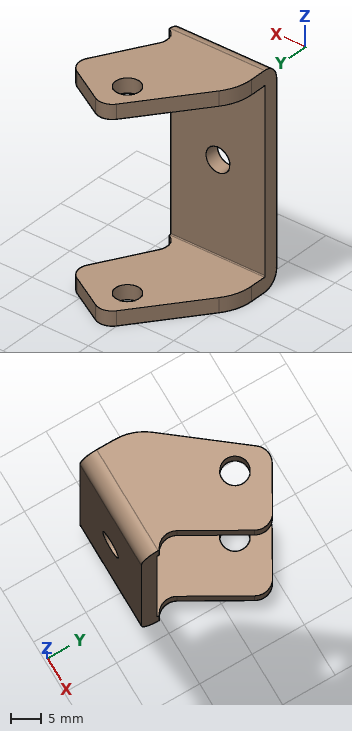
import cadquery as cq
import math

height = 44.0
web_width = 20.0
thickness = 3.05
inner_bend_radius = 0.18
outer_bend_radius = thickness + inner_bend_radius

reach_x = 25.45
reach_y = 27.4
corner_radius = 3.0
elbow_radius = 9.6
elbow_start_y = 6.7
lean_angle = 60.0
tip_spacing = 8.45
notch_center_y = 6.15

hole_diameter = 5.0
flange_hole_x = 14.65
flange_hole_y = 21.05


def on_circle(center, radius, angle):
    """Point on a circle at an angle in degrees from +X."""
    turn = math.radians(angle)
    return (center[0] + radius * math.cos(turn), center[1] + radius * math.sin(turn))


def make_channel():
    """C-shaped channel: a web and two flanges joined by round bends."""
    profile = cq.Workplane("YZ").rect(2 * reach_y, height).extrude(reach_x)
    profile = profile.edges("|X").fillet(outer_bend_radius)
    cavity_length = 2 * (reach_y - thickness)
    cavity = cq.Workplane("YZ").rect(cavity_length, height - 2 * thickness).extrude(reach_x)
    cavity = cavity.edges("|X").fillet(inner_bend_radius)
    near_half = cq.Workplane("XY").box(reach_x, reach_y, height, centered=(False, False, True))
    shell = profile.cut(cavity).translate((0, reach_y, 0))
    return shell.intersect(near_half)


def make_flange_outline():
    """Leaning flange shape seen along Z, as a block of full height."""
    edge_angle = lean_angle - 90
    elbow_center = (elbow_radius, elbow_start_y)
    right_center_x = reach_x - corner_radius
    top_center_y = reach_y - corner_radius
    spacing_x = tip_spacing * math.cos(math.radians(edge_angle))
    spacing_y = tip_spacing * math.sin(math.radians(edge_angle))
    top_center = (right_center_x - spacing_x, top_center_y)
    right_center = (right_center_x, top_center_y + spacing_y)

    dx = top_center[0] - elbow_center[0]
    dy = top_center[1] - elbow_center[1]
    taper = math.asin((elbow_radius - corner_radius) / math.hypot(dx, dy))
    left_angle = math.degrees(math.atan2(dy, dx) - taper) + 90

    normal_x = math.cos(math.radians(edge_angle))
    normal_y = math.sin(math.radians(edge_angle))
    edge_offset = right_center[0] * normal_x + right_center[1] * normal_y + corner_radius
    notch_center_x = (edge_offset + corner_radius - notch_center_y * normal_y) / normal_x
    notch_center = (notch_center_x, notch_center_y)
    notch_end_y = notch_center_y - math.sqrt(corner_radius**2 - (notch_center_x - web_width)**2)

    outline = (
        cq.Workplane("XY", origin=(0, 0, -height / 2))
        .moveTo(0, 0)
        .lineTo(0, elbow_start_y)
        .threePointArc(
            on_circle(elbow_center, elbow_radius, (180 + left_angle) / 2),
            on_circle(elbow_center, elbow_radius, left_angle),
        )
        .lineTo(*on_circle(top_center, corner_radius, left_angle))
        .threePointArc(
            on_circle(top_center, corner_radius, (left_angle + lean_angle) / 2),
            on_circle(top_center, corner_radius, lean_angle),
        )
        .lineTo(*on_circle(right_center, corner_radius, lean_angle))
        .threePointArc(
            on_circle(right_center, corner_radius, (lean_angle + edge_angle) / 2),
            on_circle(right_center, corner_radius, edge_angle),
        )
        .lineTo(*on_circle(notch_center, corner_radius, edge_angle + 180))
        .threePointArc(
            (notch_center_x - corner_radius, notch_center_y),
            (web_width, notch_end_y),
        )
        .lineTo(web_width, 0)
        .close()
    )
    return outline.extrude(height)


def make_holes():
    """One hole through both flanges and one through the middle of the web."""
    hole_radius = hole_diameter / 2
    flange_hole = cq.Workplane("XY").center(flange_hole_x, flange_hole_y).circle(hole_radius)
    web_hole = cq.Workplane("XZ").center(web_width / 2, 0).circle(hole_radius)
    return flange_hole.extrude(height / 2, both=True).union(web_hole.extrude(-outer_bend_radius))


result = make_channel().intersect(make_flange_outline()).cut(make_holes())